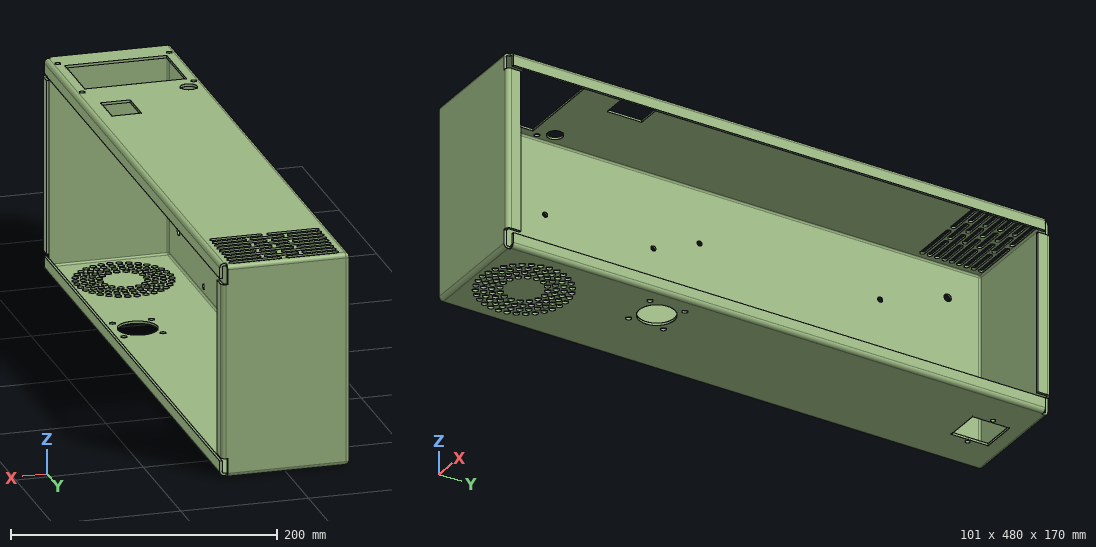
import cadquery as cq
import math

width = 101.0
length = 480.0
height = 170.0
sheet = 2.0
bend_radius = 3.5

lip_depth = 12.0
lip_gap = 3.5
notch_depth_x = 5.0
notch_depth_y = 5.5

slot_rows = 9
slot_field_length = 52.0
slot_pitch = slot_field_length / (slot_rows - 1)
slot_width = 4.0
slot_field_y = 208.5
slot_field_width = 85.5
slot_bridges = {2: 4.0, 3: 3.0}

fan_window = (79.5, 53.5)
fan_window_y = -188.5
fan_screw_pitch = (87.5, 65.5)
fan_screw_diameter = 4.2

window_size = (23.0, 30.0)
window_center = (25.5, -114.0)
cable_hole_diameter = 13.0
cable_hole_center = (-36.5, -144.5)

grille_center_y = -194.5
grille_hole_diameter = 5.0
grille_first_radius = 18.0
grille_last_radius = 36.5
grille_ring_counts = (16, 24, 28, 32)
grille_ring_pitch = (grille_last_radius - grille_first_radius) / (len(grille_ring_counts) - 1)

socket_diameter = 30.5
socket_center = (19.5, -89.5)
socket_screw_pitch = 30.5
socket_screw_diameter = 4.4

inlet_size = (30.5, 32.5)
inlet_screw_pitch = 36.5
inlet_screw_diameter = 3.8

mount_pitch = (422.5, 112.0)
mount_center_y = -2.0
mount_diameter = 6.0
board_holes = [(y, z) for y in (-50.5, -146.0) for z in (19.0, -77.0)]
board_hole_diameter = 4.2
screw_holes = [(y, z) for y in (150.0, -9.5) for z in (36.0, -53.5)] + [(101.5, -14.0)]
screw_hole_diameter = 4.2
countersink_diameter = 7.5
countersink_half_angle = 45
countersink_rim_width = (countersink_diameter - screw_hole_diameter) / 2
countersink_depth = countersink_rim_width / math.tan(math.radians(countersink_half_angle))

cut_depth = 2 * bend_radius


def top_plane():
    return cq.Workplane("XY", origin=(0, 0, height / 2 - cut_depth))


def bottom_plane():
    return cq.Workplane("XY", origin=(0, 0, -height / 2))


def side_plane():
    return cq.Workplane("YZ", origin=(-width / 2, 0, 0))


def hollow_box():
    outer = cq.Workplane().box(width, length, height).edges().fillet(bend_radius)
    inner = cq.Workplane().box(width - 2 * sheet, length - 2 * sheet, height - 2 * sheet)
    return outer.cut(inner.edges().fillet(bend_radius - sheet))


def lip_cuts():
    edge_x = width / 2
    half_y = length / 2
    lip_z = height / 2 - lip_depth
    notch_z = lip_depth + lip_gap
    opening = cq.Workplane().box(2 * notch_depth_x, length - 2 * lip_depth, 2 * lip_z)
    cuts = opening.translate((edge_x, 0, 0))
    for side in (1, -1):
        slit = cq.Workplane().box(2 * notch_depth_x, length, lip_gap)
        cuts = cuts.union(slit.translate((edge_x, 0, side * (lip_z - lip_gap / 2))))
        for end in (1, -1):
            notch = cq.Workplane().box(2 * notch_depth_x, 2 * notch_depth_y, 2 * notch_z)
            cuts = cuts.union(notch.translate((edge_x, end * half_y, side * height / 2)))
    return cuts


def vent_slots():
    slots = top_plane()
    for row in range(slot_rows):
        columns = 2 if row % 2 == 0 else 3
        bridge = slot_bridges[columns]
        slot_length = (slot_field_width - (columns - 1) * bridge) / columns
        y = slot_field_y + (row - (slot_rows - 1) / 2) * slot_pitch
        centers = [((i - (columns - 1) / 2) * (slot_length + bridge), y) for i in range(columns)]
        row_slots = top_plane().pushPoints(centers).slot2D(slot_length, slot_width)
        slots = slots.union(row_slots.extrude(cut_depth))
    return slots


def round_holes(plane, centers, diameter):
    return plane.pushPoints(centers).circle(diameter / 2).extrude(cut_depth)


def countersinks(centers):
    profile = side_plane().pushPoints(centers).circle(countersink_diameter / 2)
    return profile.extrude(countersink_depth, taper=countersink_half_angle)


def corners(pitch_u, pitch_v, u=0.0, v=0.0):
    return [(u + i * pitch_u / 2, v + j * pitch_v / 2) for i in (1, -1) for j in (1, -1)]


def grille_centers():
    centers = []
    for ring, count in enumerate(grille_ring_counts):
        radius = grille_first_radius + ring * grille_ring_pitch
        for i in range(count):
            angle = 2 * math.pi * i / count
            centers.append((radius * math.cos(angle), grille_center_y + radius * math.sin(angle)))
    return centers


result = hollow_box().cut(lip_cuts())

result = result.cut(vent_slots())
result = result.cut(top_plane().center(0, fan_window_y).rect(*fan_window).extrude(cut_depth))
fan_screws = corners(*fan_screw_pitch, 0, fan_window_y)
result = result.cut(round_holes(top_plane(), fan_screws, fan_screw_diameter))
result = result.cut(top_plane().center(*window_center).rect(*window_size).extrude(cut_depth))
result = result.cut(round_holes(top_plane(), [cable_hole_center], cable_hole_diameter))

result = result.cut(round_holes(bottom_plane(), grille_centers(), grille_hole_diameter))
result = result.cut(round_holes(bottom_plane(), [socket_center], socket_diameter))
socket_screws = corners(socket_screw_pitch, socket_screw_pitch, *socket_center)
result = result.cut(round_holes(bottom_plane(), socket_screws, socket_screw_diameter))
result = result.cut(bottom_plane().center(0, slot_field_y).rect(*inlet_size).extrude(cut_depth))
inlet_screws = [(side * inlet_screw_pitch / 2, slot_field_y) for side in (1, -1)]
result = result.cut(round_holes(bottom_plane(), inlet_screws, inlet_screw_diameter))

result = result.cut(round_holes(side_plane(), corners(*mount_pitch, mount_center_y, 0), mount_diameter))
result = result.cut(round_holes(side_plane(), board_holes, board_hole_diameter))
result = result.cut(round_holes(side_plane(), screw_holes, screw_hole_diameter))
result = result.cut(countersinks(screw_holes))